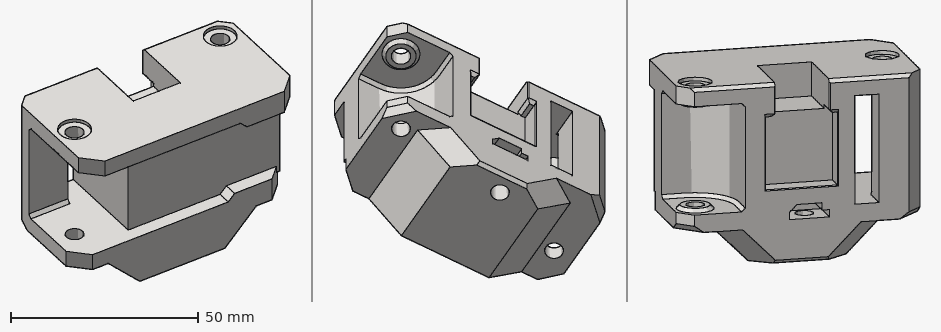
import cadquery as cq

LENGTH = 67.35
HEIGHT = 50.0
TOP_DEPTH = 37.0
BOTTOM_DEPTH = 31.0
HALF_LENGTH = LENGTH / 2

KEEL_HEIGHT = 10.05
PLATE = 5.0
FLOOR_Z = KEEL_HEIGHT + PLATE
CEILING_Z = HEIGHT - PLATE
BAY_HEIGHT = CEILING_Z - FLOOR_Z
FRONT_CORNER = 4.05
REAR_CORNER = 5.1
EDGE = 1.0
LOWER_CORNER_CUT = 1.9

KEEL_HALF_WIDTH = 13.55
KEEL_CORNER = 5.1

REAR_HOLE = (20.7, -27.6)
FRONT_HOLE = (7.0, 27.6)
UPPER_HOLE_DIA = 5.1
LOWER_HOLE_DIA = 5.0
HEAD_DIA = 9.0
HEAD_DEPTH = 1.0
BOSS_DIA = 8.1
LOW_BOSS = 1.0
TALL_BOSS = 1.95

BLOCK_DEPTH = 26.95
SIDE_WALL = 7.6
BLOCK_SIDE_Y = -14.6
ROUND_BAY_RADIUS = 12.0
PAD_HEIGHT = 2.0
PAD_START_Y = -BLOCK_SIDE_Y

SLOT_WIDTH = 6.7

POCKET_WIDTH = 20.35
POCKET_DEPTH = 5.5
POCKET_BOTTOM_Z = 20.35
LEDGE_Z = 40.55
NOTCH_WIDTH = 14.95
NOTCH_CENTRE_Y = -0.15
NOTCH_DEPTH = 18.65
RIM = 0.3
LIP = 1.0

RECESS_LEFT_Y = 3.4
RECESS_RIGHT_Y = -7.6
RECESS_BOTTOM_Z = 12.0
RECESS_HEIGHT = 4.05
RECESS_STEP = 2.0
RECESS_DEPTH = 8.75
KEEL_HOLE_DIA = 5.0
KEEL_HOLE_X = 5.6


def box(x0, x1, y0, y1, z0, z1):
    return cq.Workplane("XY").box(x1 - x0, y1 - y0, z1 - z0, centered=False).translate((x0, y0, z0))


def plate_prism(depth, z0, z1):
    """Full-length plate with its four upright corners cut at 45 degrees."""
    slab = box(0, depth, -HALF_LENGTH, HALF_LENGTH, z0, z1)
    slab = slab.edges("|Z and <X").chamfer(FRONT_CORNER)
    return slab.edges("|Z and >X").chamfer(REAR_CORNER)


def body():
    """C-shaped shell filled by the centre block, still without bays."""
    lower = plate_prism(BOTTOM_DEPTH, KEEL_HEIGHT, FLOOR_Z)
    upper = plate_prism(TOP_DEPTH, CEILING_Z, HEIGHT).edges("<X and >Z").chamfer(EDGE)
    block = plate_prism(TOP_DEPTH, FLOOR_Z, CEILING_Z)
    block = block.intersect(box(0, BLOCK_DEPTH, -HALF_LENGTH, HALF_LENGTH, FLOOR_Z, CEILING_Z))
    return lower.union(block).union(upper)


def corner_cutter(side):
    """45 degree wedge along the lower edge of one front corner; side is -1 or 1."""
    reach = 2 * FRONT_CORNER
    wedge = (
        cq.Workplane("XZ")
        .polyline([(0, 0), (LOWER_CORNER_CUT, 0), (0, LOWER_CORNER_CUT)])
        .close()
        .extrude(reach, both=True)
    )
    middle = (FRONT_CORNER / 2, side * (HALF_LENGTH - FRONT_CORNER / 2), KEEL_HEIGHT)
    return wedge.rotate((0, 0, 0), (0, 0, 1), -45 * side).translate(middle)


def keel():
    flare = KEEL_HALF_WIDTH + KEEL_HEIGHT
    outline = [
        (-flare, KEEL_HEIGHT),
        (-KEEL_HALF_WIDTH, 0),
        (KEEL_HALF_WIDTH, 0),
        (flare, KEEL_HEIGHT),
    ]
    solid = cq.Workplane("YZ").polyline(outline).close().extrude(BOTTOM_DEPTH)
    solid = solid.faces("<X").edges("not |Y").chamfer(KEEL_CORNER)
    return solid.faces("<Z").edges("<X").chamfer(EDGE)


def square_bay():
    """Bay at the -Y end, its front wall edges bevelled."""
    bay = box(SIDE_WALL, TOP_DEPTH, -HALF_LENGTH, BLOCK_SIDE_Y, FLOOR_Z, CEILING_Z)
    bay = bay.faces("<X").edges("|Y").chamfer(EDGE)
    slot = box(0, SIDE_WALL + EDGE, BLOCK_SIDE_Y - SLOT_WIDTH, BLOCK_SIDE_Y, FLOOR_Z, CEILING_Z)
    return bay.union(slot)


def round_bay():
    """Bay at the +Y end, round about the front hole and open to the front and the end."""
    x, y = FRONT_HOLE
    r = ROUND_BAY_RADIUS
    front = -r
    end = LENGTH
    bay = (
        cq.Workplane("XY", origin=(0, 0, FLOOR_Z))
        .moveTo(front, y - r)
        .lineTo(x, y - r)
        .radiusArc((x + r, y), -r)
        .lineTo(x + r, end)
        .lineTo(front, end)
        .close()
        .extrude(BAY_HEIGHT)
    )
    return bay.faces("<Z or >Z").edges().chamfer(EDGE)


def pads():
    """Raised pads with 45 degree fronts on the facing plate surfaces behind the block."""
    outline = [
        (PAD_START_Y, 0),
        (PAD_START_Y + PAD_HEIGHT, PAD_HEIGHT),
        (HALF_LENGTH, PAD_HEIGHT),
        (HALF_LENGTH, 0),
    ]
    bar = cq.Workplane("YZ").polyline(outline).close().extrude(TOP_DEPTH - BLOCK_DEPTH)
    bar = bar.translate((BLOCK_DEPTH, 0, 0))
    lower = bar.translate((0, 0, FLOOR_Z)).intersect(plate_prism(BOTTOM_DEPTH, FLOOR_Z, CEILING_Z))
    upper = bar.mirror("XY").translate((0, 0, CEILING_Z))
    return lower.union(upper.intersect(plate_prism(TOP_DEPTH, FLOOR_Z, CEILING_Z)))


def boss(centre, z, height, direction):
    """Cone rising from a plate at 45 degrees to the seat diameter."""
    base_radius = BOSS_DIA / 2 + height
    cone = cq.Solid.makeCone(
        base_radius, BOSS_DIA / 2, height, cq.Vector(*centre, z), cq.Vector(0, 0, direction)
    )
    return cq.Workplane(cone)


def screw_holes(x, y):
    def cylinder(dia, z0, z1):
        return cq.Workplane("XY", origin=(x, y, z0)).circle(dia / 2).extrude(z1 - z0)

    middle = HEIGHT / 2
    cut = cylinder(UPPER_HOLE_DIA, middle, HEIGHT).union(cylinder(LOWER_HOLE_DIA, 0, middle))
    return cut.union(cylinder(HEAD_DIA, HEIGHT - HEAD_DEPTH, HEIGHT))


def rimmed_opening(width, depth, z0, z1):
    """Rectangular opening in the front face, widened at the front by a small 45 degree rim."""
    height = z1 - z0
    front = cq.Workplane("YZ", origin=(0, 0, z0 + height / 2))
    rim = front.rect(width + 2 * RIM, height + 2 * RIM).workplane(offset=RIM).rect(width, height).loft()
    return front.rect(width, height).extrude(depth).union(rim)


def pocket():
    """Front pocket with 45 degree bevels under its two hooked lips."""
    inner_width = POCKET_WIDTH - 2 * RIM
    cut = rimmed_opening(inner_width, POCKET_DEPTH, POCKET_BOTTOM_Z + RIM, LEDGE_Z)
    front_bevel = (
        cq.Workplane("XZ", origin=(0, POCKET_WIDTH / 2, LEDGE_Z))
        .polyline([(0, 0), (LIP, 0), (0, LIP)])
        .close()
        .extrude(POCKET_WIDTH)
    )
    half_notch = NOTCH_WIDTH / 2
    outline = [
        (-half_notch - LIP, 0),
        (half_notch + LIP, 0),
        (half_notch, LIP),
        (-half_notch, LIP),
    ]
    side_bevels = (
        cq.Workplane("YZ", origin=(0, NOTCH_CENTRE_Y, LEDGE_Z))
        .polyline(outline)
        .close()
        .extrude(POCKET_DEPTH)
    )
    return cut.union(front_bevel).union(side_bevels)


def notch():
    """Notch through the upper plate, joining the top of the pocket."""
    cut = rimmed_opening(NOTCH_WIDTH, NOTCH_DEPTH, LEDGE_Z, HEIGHT)
    return cut.translate((0, NOTCH_CENTRE_Y, 0))


def keyed_recess():
    top = RECESS_BOTTOM_Z + RECESS_HEIGHT
    outline = [
        (RECESS_LEFT_Y, RECESS_BOTTOM_Z),
        (RECESS_LEFT_Y, top - RECESS_STEP),
        (RECESS_LEFT_Y - RECESS_STEP, top),
        (RECESS_RIGHT_Y + RECESS_STEP, top),
        (RECESS_RIGHT_Y + RECESS_STEP, top - RECESS_STEP),
        (RECESS_RIGHT_Y, top - RECESS_STEP),
        (RECESS_RIGHT_Y, RECESS_BOTTOM_Z),
    ]
    return cq.Workplane("YZ").polyline(outline).close().extrude(RECESS_DEPTH)


def keel_hole():
    """Upright hole from the underside of the keel into the floor of the recess."""
    middle_y = (RECESS_LEFT_Y + RECESS_RIGHT_Y) / 2
    hole = cq.Workplane("XY").center(KEEL_HOLE_X, middle_y)
    return hole.circle(KEEL_HOLE_DIA / 2).extrude(RECESS_BOTTOM_Z)


result = body().cut(corner_cutter(-1)).cut(corner_cutter(1)).union(keel())
result = result.cut(square_bay()).cut(round_bay()).union(pads())
result = result.union(boss(REAR_HOLE, CEILING_Z, TALL_BOSS, -1))
result = result.union(boss(FRONT_HOLE, CEILING_Z, LOW_BOSS, -1))
result = result.union(boss(FRONT_HOLE, FLOOR_Z, LOW_BOSS, 1))
for hole in (REAR_HOLE, FRONT_HOLE):
    result = result.cut(screw_holes(*hole))
result = result.cut(pocket()).cut(notch()).cut(keyed_recess()).cut(keel_hole())